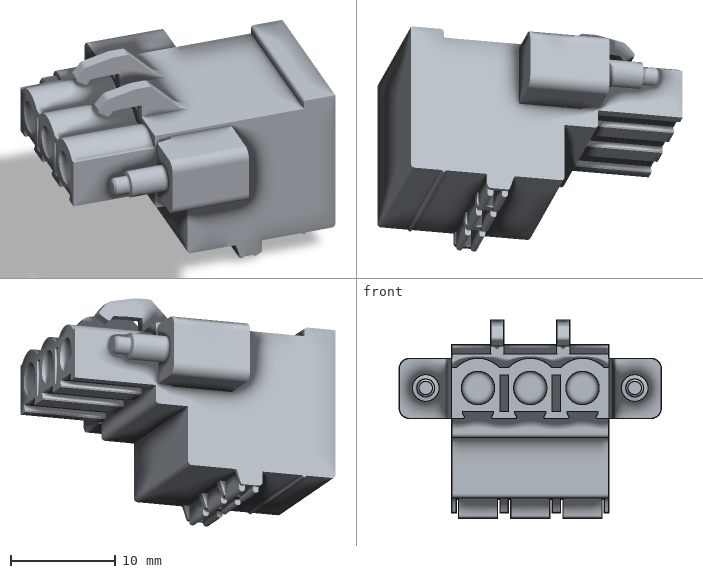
import cadquery as cq
import math


pitch = 5.0
ways = 3
body_width = 15.05
body_back = 26.6
body_front = 8.27
body_top = 13.78
shelf_z = 5.77
lower_front = 11.57
lip_front = 23.4
lip_top = 14.65
lip_round = 0.3
edge_round = 0.35

contact_z = 10.5
contact_radius = 1.6
contact_depth = 1.06
crown_radius = 2.85
nose_bottom = 7.58
nose_shoulder = 12.45
slot_width = 0.82
slot_bottom = 8.27
slot_top = 11.75
keyway_root_z = slot_bottom
keyway_root_width = 2.98
keyway_neck_width = 2.55
keyway_mouth_width = 2.77
keyway_wall_height = 0.15
keyway_neck_height = 0.13

flange_span = 25.1
flange_back = 16.05
flange_top = contact_z + crown_radius
flange_round = 1.0
relief_back = 9.85
relief_root_gap = 0.3
relief_mouth_gap = 0.6
relief_root_round = 0.1
relief_mouth_round = 0.27

screw_x = 10.0
screw_radius = 1.28
screw_shoulder = 4.65
shoulder_slope = 0.1
tip_radius = 0.85
tip_end = 3.03
tip_bevel = 0.2

hook_x = 3.17
hook_width = 1.28
hook_top = 17.02
hook_embed = 0.53
hook_heel_back = 13.43
hook_heel = 12.37
hook_heel_round = 1.92
hook_crest_back = 9.12
hook_crest_front = 7.6
hook_crest_back_round = 0.4
hook_crest_front_round = 2.13
hook_brow = (4.81, 16.45)
hook_brow_round = 0.75
hook_tip = (3.72, 15.22)
hook_tip_round = 0.27
hook_barb = (4.9, 14.5)
hook_barb_round = 0.15
hook_barb_root = (5.32, 15.03)
hook_barb_root_round = 0.08
hook_underside_front = 6.28
hook_underside = 15.1
hook_throat_round = 0.13

wide_foot_width = 3.78
wide_foot_bottom = -1.97
narrow_foot_width = 0.82
narrow_foot_bottom = -1.44
foot_embed = 0.27
edge_foot_width = 0.45
foot_back = 19.15
foot_back_round = 0.43
foot_front_bottom = 16.97
foot_front_bottom_round = 0.25
foot_front_root = 16.5
foot_root_round = 0.2
foot_root_lead = 0.53
leg_thickness = 0.59
leg_round = 0.27
back_leg_front = 18.4
front_leg_front = 17.0
rib_y = lip_front
rib_width = 0.45
rib_height = 0.2
rib_round = 0.08


def rounded_outline(plane, corners):
    """Closed outline through (u, v, radius) corners; a radius of 0 leaves the corner sharp."""
    steps = []
    for i, (u, v, radius) in enumerate(corners):
        corner = cq.Vector(u, v)
        if radius == 0:
            steps.append((corner, None, None))
            continue
        before = corners[i - 1]
        after = corners[(i + 1) % len(corners)]
        to_before = (cq.Vector(before[0], before[1]) - corner).normalized()
        to_after = (cq.Vector(after[0], after[1]) - corner).normalized()
        half_angle = to_before.getAngle(to_after) / 2
        tangent = radius / math.tan(half_angle)
        bulge = radius / math.sin(half_angle) - radius
        middle = corner + (to_before + to_after).normalized() * bulge
        steps.append((corner + to_before * tangent, middle, corner + to_after * tangent))

    first_start = steps[0][0]
    outline = cq.Workplane(plane).moveTo(first_start.x, first_start.y)
    for i, (start, middle, end) in enumerate(steps):
        if i > 0:
            outline = outline.lineTo(start.x, start.y)
        if middle is not None:
            outline = outline.threePointArc((middle.x, middle.y), (end.x, end.y))
    return outline.close()


def side_slab(corners, width, x_centre):
    """Side outline of (y, z, radius) corners given a width along X."""
    slab = rounded_outline("YZ", corners).extrude(width / 2, both=True)
    return slab.translate((x_centre, 0, 0))


def box(x_range, y_range, z_range):
    """Block between (low, high) limits along each axis."""
    size = [high - low for low, high in (x_range, y_range, z_range)]
    corner = (x_range[0], y_range[0], z_range[0])
    return cq.Workplane("XY").box(*size, centered=False).translate(corner)


def rod(x, z, radius, y_front, y_back):
    """Cylinder along Y."""
    return cq.Workplane("XZ", origin=(x, y_back, z)).circle(radius).extrude(y_back - y_front)


way_positions = [(i - (ways - 1) / 2) * pitch for i in range(ways)]
gap_positions = [(i - (ways - 2) / 2) * pitch for i in range(ways - 1)]


def housing():
    """Stepped main block with a raised lip along the back of its top."""
    corners = [
        (body_back, 0, edge_round),
        (body_back, lip_top, 0),
        (lip_front, lip_top, lip_round),
        (lip_front, body_top, 0),
        (body_front, body_top, 0),
        (body_front, shelf_z, edge_round),
        (lower_front, shelf_z, 0),
        (lower_front, 0, edge_round),
    ]
    return side_slab(corners, body_width, 0)


def nose():
    """Plug face: a crowned barrel and contact hole per way, with slots between the ways."""
    half_width = body_width / 2
    plug = box((-half_width, half_width), (0, body_front), (nose_bottom, nose_shoulder))
    for x in way_positions:
        crown = rod(x, contact_z, crown_radius, 0, body_front)
        above_shoulder = box(
            (x - crown_radius, x + crown_radius),
            (0, body_front),
            (nose_shoulder, contact_z + crown_radius),
        )
        plug = plug.union(crown.intersect(above_shoulder))
    for x in way_positions:
        plug = plug.cut(rod(x, contact_z, contact_radius, 0, contact_depth))
        plug = plug.cut(keyway(x))
    for x in gap_positions:
        x_range = (x - slot_width / 2, x + slot_width / 2)
        plug = plug.cut(box(x_range, (0, body_front), (slot_bottom, slot_top)))
    return plug


def keyway(x):
    """Barbed groove along the underside of the nose."""
    half_profile = [
        (keyway_mouth_width / 2, nose_bottom),
        (keyway_neck_width / 2, nose_bottom + keyway_neck_height),
        (keyway_root_width / 2, keyway_root_z - keyway_wall_height),
        (keyway_root_width / 2, keyway_root_z),
    ]
    mirrored = [(-u, v) for u, v in reversed(half_profile)]
    groove = cq.Workplane("XZ").polyline(half_profile + mirrored).close().extrude(-body_front)
    return groove.translate((x, 0, 0))


def flange():
    """Screw flange on the +X side, relieved where its front meets the housing."""
    wall = body_width / 2
    corners = [
        (wall, flange_back, 0),
        (flange_span / 2, flange_back, 0),
        (flange_span / 2, body_front, 0),
        (wall + relief_mouth_gap, body_front, relief_mouth_round),
        (wall + relief_root_gap, relief_back, relief_root_round),
        (wall, relief_back, 0),
    ]
    plate = rounded_outline("XY", corners).extrude(flange_top - nose_bottom)
    plate = plate.translate((0, 0, nose_bottom))
    return plate.edges("|Y and >X").fillet(flange_round)


def screw():
    """Screw end on the +X side: shank, slightly conical shoulder and bevelled tip."""
    half_profile = [
        (0, body_front),
        (screw_radius, body_front),
        (screw_radius, screw_shoulder),
        (tip_radius, screw_shoulder - shoulder_slope),
        (tip_radius, tip_end + tip_bevel),
        (tip_radius - tip_bevel, tip_end),
        (0, tip_end),
    ]
    corners = [(y, radius) for radius, y in half_profile]
    axis_start = (0, 0)
    axis_end = (1, 0)
    turned = cq.Workplane("YZ").polyline(corners).close().revolve(360, axis_start, axis_end)
    return turned.translate((screw_x, 0, contact_z))


def hook(x):
    """Latch hook reaching forward over the nose."""
    corners = [
        (hook_heel_back, body_top, 0),
        (hook_heel, body_top, hook_heel_round),
        (hook_crest_back, hook_top, hook_crest_back_round),
        (hook_crest_front, hook_top, hook_crest_front_round),
        (*hook_brow, hook_brow_round),
        (*hook_tip, hook_tip_round),
        (*hook_barb, hook_barb_round),
        (*hook_barb_root, hook_barb_root_round),
        (hook_underside_front, hook_underside, 0),
        (body_front, hook_underside, hook_throat_round),
        (body_front, body_top - hook_embed, 0),
        (hook_heel_back, body_top - hook_embed, 0),
    ]
    return side_slab(corners, hook_width, x)


def narrow_foot(x, width):
    """Short foot with a sloping front."""
    corners = [
        (foot_back, foot_embed, 0),
        (foot_back, narrow_foot_bottom, foot_back_round),
        (foot_front_bottom, narrow_foot_bottom, foot_front_bottom_round),
        (foot_front_root, 0, foot_root_round),
        (foot_front_root - foot_root_lead, 0, 0),
        (foot_front_root - foot_root_lead, foot_embed, 0),
    ]
    return side_slab(corners, width, x)


def wide_foot(x):
    """Pair of parallel legs with rounded ends."""
    legs = cq.Workplane("XY")
    for y_front in (front_leg_front, back_leg_front):
        y_back = y_front + leg_thickness
        corners = [
            (y_back, foot_embed, 0),
            (y_back, wide_foot_bottom, leg_round),
            (y_front, wide_foot_bottom, leg_round),
            (y_front, foot_embed, 0),
        ]
        legs = legs.add(side_slab(corners, wide_foot_width, x))
    return legs.combine()


def rib():
    """Small rounded ridge across the underside, in line with the lip."""
    corners = [
        (rib_y - rib_width / 2, 0, 0),
        (rib_y + rib_width / 2, 0, 0),
        (rib_y, -rib_height, rib_round),
    ]
    return side_slab(corners, body_width, 0)


result = housing().union(nose()).union(rib())

for x in (-hook_x, hook_x):
    result = result.union(hook(x))

ear = flange().union(screw())
result = result.union(ear).union(ear.mirror("YZ"))

for x in way_positions:
    result = result.union(wide_foot(x))
for x in gap_positions:
    result = result.union(narrow_foot(x, narrow_foot_width))
edge_foot_x = (body_width - edge_foot_width) / 2
for x in (-edge_foot_x, edge_foot_x):
    result = result.union(narrow_foot(x, edge_foot_width))